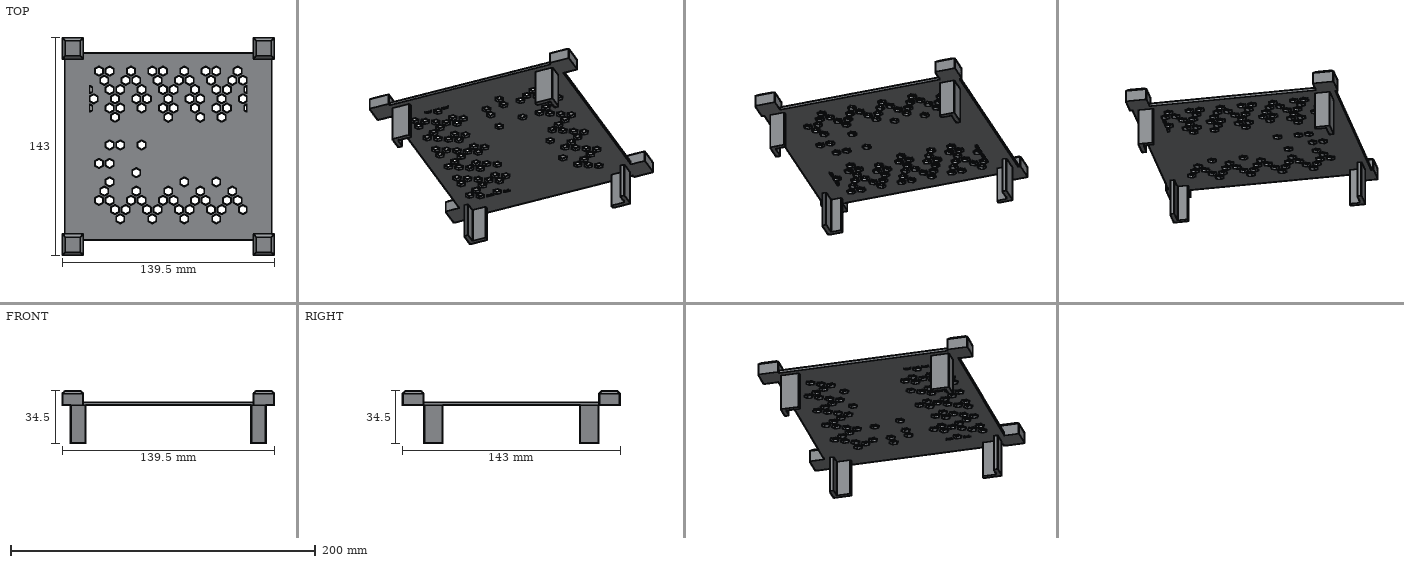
import cadquery as cq
import math

overall_x = 139.5
overall_y = 143.0
overall_z = 34.5

leg_height = 25.0
leg_x = 10.2
leg_y = 12.6
leg_wall = 3.0
leg_inset_x = 5.5

cap_size = 14.0
cap_height = overall_z - leg_height
bevel_width = 2.0
bevel_height = 1.9
edge_chamfer = 0.5

plate_x = 136.1
plate_y = 123.0
plate_thickness = 2.0

hex_across_flats = 5.1
hex_sides = 6
hex_pitch = 7.0
half_pitch = hex_pitch / 2
row_pitch = hex_pitch * math.sqrt(3) / 2
middle_row = 8
middle_row_y = 1.0
pattern_x = 103.0

hex_rows = {
    0: [-13, -11, -7, -3, -1, 3, 7, 9, 13],
    1: [-12, -8, -6, -2, 2, 4, 8, 12, 14],
    2: [-15, -11, -9, -5, -1, 1, 5, 9, 11, 15],
    3: [-14, -10, -6, -4, 0, 4, 6, 10, 14],
    4: [-15, -11, -9, -5, -1, 1, 5, 9, 11, 15],
    5: [-10, 0, 6, 10],
    8: [-11, -9, -5],
    10: [-13, -11],
    11: [-6],
    12: [-11, 3, 9],
    13: [-12, -6, 0, 6, 12],
    14: [-13, -11, -7, -5, -1, 1, 5, 7, 11, 13],
    15: [-10, -8, -4, -2, 2, 4, 8, 10, 14],
    16: [-9, -3, 3, 9],
}


def hex_cutters():
    """Hexagonal prisms, trimmed to the straight sides of the patterned area."""
    radius = hex_across_flats / math.sqrt(3)
    corner_angles = [2 * math.pi * corner / hex_sides for corner in range(hex_sides)]
    outline = [(radius * math.sin(angle), radius * math.cos(angle)) for angle in corner_angles]
    prism = cq.Workplane("XY", origin=(0, 0, leg_height)).polyline(outline).close().extrude(plate_thickness)
    centres = [
        (column * half_pitch, middle_row_y + (middle_row - row) * row_pitch)
        for row, columns in hex_rows.items()
        for column in columns
    ]
    prisms = cq.Workplane("XY").pushPoints(centres).eachpoint(lambda place: prism.val().moved(place))
    area = cq.Workplane("XY").box(pattern_x, plate_y, overall_z, centered=(True, True, False))
    return prisms.intersect(area)


def make_plate():
    """Flat plate with its pattern of through holes."""
    blank = cq.Workplane("XY", origin=(0, 0, leg_height)).rect(plate_x, plate_y).extrude(plate_thickness)
    return blank.cut(hex_cutters())


def make_cap():
    """Cap of the corner at +X, +Y."""
    bevel_angle = math.degrees(math.atan2(bevel_width, bevel_height))
    shoulder_height = cap_height - bevel_height
    block = (
        cq.Workplane("XY")
        .rect(cap_size, cap_size)
        .extrude(shoulder_height)
        .faces(">Z")
        .workplane()
        .rect(cap_size, cap_size)
        .extrude(bevel_height, taper=bevel_angle)
    )
    post = cq.Workplane("XY").rect(cap_size, cap_size).extrude(cap_height).edges("|Z").chamfer(edge_chamfer)
    centre_x = (overall_x - cap_size) / 2
    centre_y = (overall_y - cap_size) / 2
    return block.intersect(post).translate((centre_x, centre_y, leg_height))


def make_leg():
    """Leg of the corner at +X, +Y: two walls meeting at the outer edge."""
    outer_x = overall_x / 2 - leg_inset_x
    outer_y = overall_y / 2 - cap_size
    return (
        cq.Workplane("XY")
        .moveTo(outer_x, outer_y)
        .hLine(-leg_x)
        .vLine(-leg_wall)
        .hLine(leg_x - leg_wall)
        .vLine(leg_wall - leg_y)
        .hLine(leg_wall)
        .close()
        .extrude(leg_height)
        .edges("|Z")
        .chamfer(edge_chamfer)
    )


right_back_corner = make_cap().union(make_leg())
back_corners = right_back_corner.union(right_back_corner.mirror("YZ"))
corners = back_corners.union(back_corners.mirror("XZ"))

result = make_plate().union(corners)